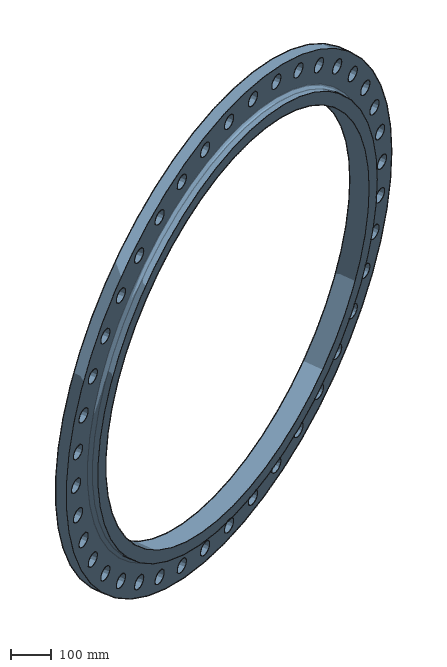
import cadquery as cq

outer_diameter = 1454.0
bore_diameter = 1175.0
plate_thickness = 32.0

total_width = 57.0
hub_diameter = 1248.0
hub_fillet_radius = 9.0

bolt_circle_diameter = 1365.0
bolt_hole_diameter = 40.0
bolt_hole_count = 40


def disc(diameter, width):
    """Disc about the X axis, starting at X = 0."""
    return cq.Workplane("YZ").circle(diameter / 2).extrude(width)


def hub_fillet():
    """Concave ring that blends the hub into the plate face."""
    hub_radius = hub_diameter / 2
    fillet_top = hub_radius + hub_fillet_radius
    fillet_end = plate_thickness + hub_fillet_radius
    corner_block = (
        cq.Workplane("YZ", origin=(plate_thickness, 0, 0))
        .circle(fillet_top)
        .circle(hub_radius)
        .extrude(hub_fillet_radius)
    )
    hollow = (
        cq.Workplane("XY")
        .center(fillet_end, fillet_top)
        .circle(hub_fillet_radius)
        .revolve(360, (-fillet_end, -fillet_top), (15 - fillet_end, -fillet_top))
    )
    return corner_block.cut(hollow)


def bolt_holes():
    """Cutters for the evenly spaced bolt holes, one of them straight above the axis."""
    return (
        cq.Workplane("YZ")
        .polarArray(bolt_circle_diameter / 2, 90, 360, bolt_hole_count)
        .circle(bolt_hole_diameter / 2)
        .extrude(plate_thickness)
    )


plate = disc(outer_diameter, plate_thickness)
hub = disc(hub_diameter, total_width)
flange = plate.union(hub)
result = flange.union(hub_fillet()).cut(disc(bore_diameter, total_width)).cut(bolt_holes())